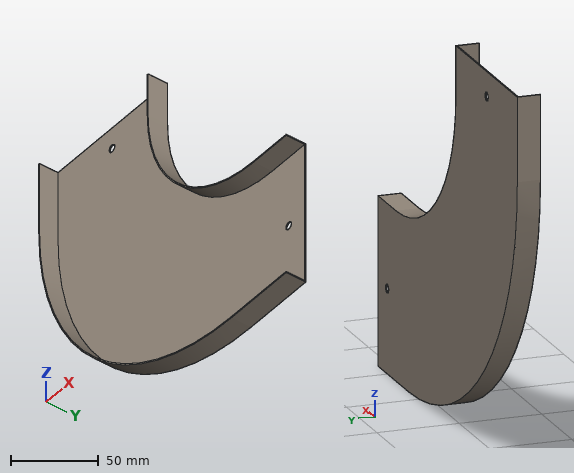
import cadquery as cq

side = 231.0
depth = 14.0
sheet = 0.8
leg_width = 102.0

outer_straight = 51.0
inner_straight = 30.3
outer_radius = side - outer_straight
inner_radius = side - leg_width - inner_straight

hole_diameter = 5.0
hole_end_distance = 15.0


def bend_solid(inset, thickness):
    """Elbow-shaped slab from y = 0 toward -Y, its curved edges moved inward by inset."""
    near = inset
    far = leg_width - inset
    outer_r = outer_radius - inset
    inner_r = inner_radius + inset
    outline = (
        cq.Workplane("XZ")
        .moveTo(near, side)
        .lineTo(near, side - outer_straight)
        .radiusArc((side - outer_straight, near), -outer_r)
        .lineTo(side, near)
        .lineTo(side, far)
        .lineTo(side - inner_straight, far)
        .radiusArc((far, side - inner_straight), inner_r)
        .lineTo(far, side)
        .close()
    )
    return outline.extrude(thickness)


channel_depth = depth - sheet
channel = bend_solid(sheet, channel_depth).translate((0, -sheet, 0))
tray = bend_solid(0, depth).cut(channel)

hole_along = side - hole_end_distance
hole_across = leg_width / 2
holes = (
    cq.Workplane("XZ")
    .pushPoints([(hole_across, hole_along), (hole_along, hole_across)])
    .circle(hole_diameter / 2)
    .extrude(sheet)
)

result = tray.cut(holes)